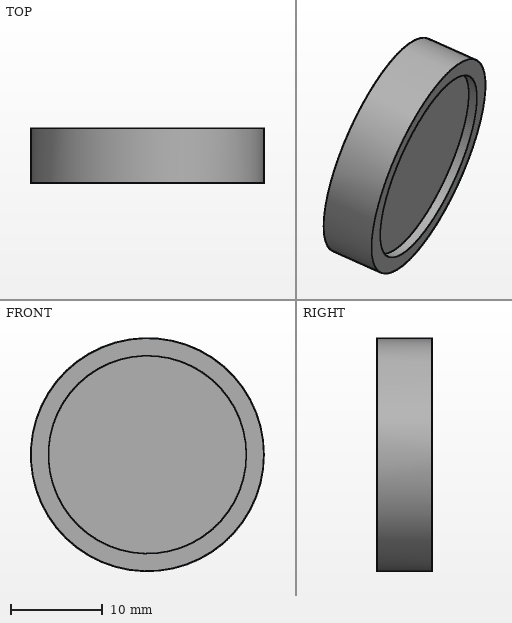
import cadquery as cq

outer_diameter = 25.4
ring_width = 6.0
bore_diameter = 21.55

front_recess = 1.02
rear_recess = front_recess


def cylinder_along_y(diameter, front_y, rear_y):
    """Solid cylinder about the Y axis from front_y back to rear_y."""
    profile = cq.Workplane("XZ", origin=(0, front_y, 0)).circle(diameter / 2)
    return profile.extrude(-(rear_y - front_y))


def make_mount_ring():
    body = cylinder_along_y(outer_diameter, -ring_width / 2, ring_width / 2)
    bore = cylinder_along_y(bore_diameter, -ring_width / 2, ring_width / 2)
    return body.cut(bore)


def make_disc():
    front_y = -ring_width / 2 + front_recess
    rear_y = ring_width / 2 - rear_recess
    return cylinder_along_y(bore_diameter, front_y, rear_y)


mount_ring = make_mount_ring()
disc = make_disc()

result = cq.Compound.makeCompound([mount_ring.val(), disc.val()])